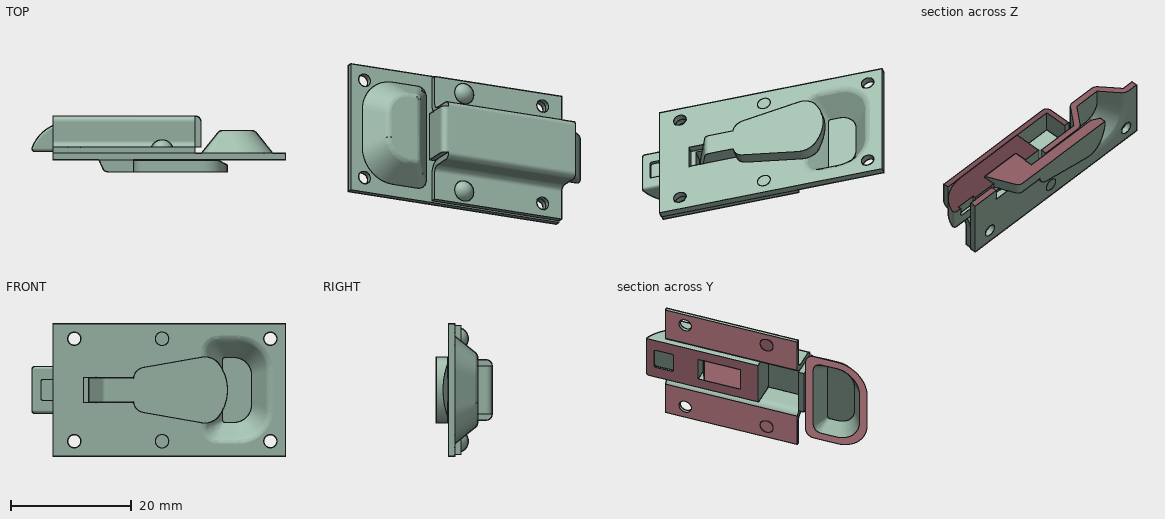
import cadquery as cq
import math


PLATE_LENGTH = 38.5
PLATE_WIDTH = 22.0
PLATE_THICKNESS = 1.1
PLATE_FRONT = -PLATE_THICKNESS

HOLE_DIAMETER = 2.15
HOLE_XS = (3.53, 36.0)
FASTENER_Z = 8.5
RIVET_X = 18.05
RIVET_DIAMETER = 2.23
RIVET_HEAD_DIAMETER = 3.53
RIVET_HEAD_HEIGHT = 1.2
RIVET_POINTS = [(RIVET_X, side * FASTENER_Z) for side in (-1, 1)]

SHEET = 1.0
HOUSING_LENGTH = 23.5
HOUSING_DEPTH = 6.17
HOUSING_WIDTH = 21.4
CHANNEL_WIDTH = 10.05
CHANNEL_HALF_INNER = CHANNEL_WIDTH / 2 - SHEET
WEB_INNER = HOUSING_DEPTH - SHEET

THROW = 3.5
BOLT_WIDTH = 7.8
BOLT_FRONT = 0.25
BOLT_END = HOUSING_LENGTH - 2 * THROW
BOLT_CURVE_RADIUS = 6.5
BOLT_ROUND = 0.5
RECESS_START = -2.0
RECESS_SIZE = 3.45
RECESS_DEPTH = 0.5
RECESS_ROUND = 0.35

HANDLE_PROJECTION = 2.0
HANDLE_FRONT = PLATE_FRONT - HANDLE_PROJECTION
HEAD_GAP = 0.1
HEAD_BACK = PLATE_FRONT - HEAD_GAP
STEM_WIDTH = 3.95
STEM_TOE = 6.0
STEM_TOE_DEPTH = 2.45
STEM_SLOPE = 0.45
STEM_ROUND = 1.0
TIP_X = 28.9
TIP_RADIUS = 7.4
TIP_HALF_ANGLE = math.radians(34.4)
CORNER_RADIUS = 3.0
FLANK_ANGLE = math.radians(10)
SHOULDER_X = 13.3
SHOULDER_RADIUS = 2.0
UNDERCUT_LENGTH = 1.65
UNDERCUT_DEPTH = 0.9
FLANGE_WIDTH = 6.55

SLOT_START = 5.1
SLOT_WIDTH = 4.2
SLOT_END = SHOULDER_X + THROW
POCKET_START = 5.9

DISH_LEFT = 24.55
DISH_RIGHT = 36.4
DISH_HALF_WIDTH = 8.9
DISH_LEFT_RADIUS = 2.65
DISH_RIGHT_RADIUS = 5.55
DISH_HEIGHT = 3.8
CAVITY_DEPTH = 3.7
DISH_ROUND = 1.3
DISH_RIM_INSET = 0.6
CAVITY_FLOOR_INSET = 3.53
CAVITY_FLOOR_RADII = (0.38, 2.95)
SHELL_FLOOR_INSET = 3.02
SHELL_BASE_RADII = (1.65, 5.63)
SHELL_FLOOR_RADII = (0.67, 3.85)
SHELL_FLOOR_ROUND = 1.1

PICK = 0.05


def facing(y):
    """Workplane parallel to the plate at the given Y; negative extrusions go toward +Y."""
    return cq.Workplane("XZ", origin=(0, y, 0))


def slab(x_start, x_end, y_start, y_end, width):
    """Box centred on Z = 0."""
    size = (x_end - x_start, y_end - y_start, width)
    return cq.Workplane("XY").box(*size, centered=(False, False, True)).translate((x_start, y_start, 0))


def pins(points, diameter, y_start, y_end):
    """Round bars along Y at the given X, Z points."""
    return facing(y_start).pushPoints(points).circle(diameter / 2).extrude(y_start - y_end)


def dish_outline(y, inset, left_radius, right_radius):
    """Closed outline of the dish at one depth, inset from its rim, with two sizes of corner."""
    left = DISH_LEFT + inset
    right = DISH_RIGHT - inset
    top = DISH_HALF_WIDTH - inset
    arc_inset = 1 - math.sqrt(0.5)

    def corner(x_side, z_side, radius, x_sign, z_sign):
        """Middle of a corner arc; the signs point into the outline."""
        return (x_side + x_sign * radius * arc_inset, z_side + z_sign * radius * arc_inset)

    return (
        facing(y)
        .moveTo(left + left_radius, top)
        .lineTo(right - right_radius, top)
        .threePointArc(corner(right, top, right_radius, -1, -1), (right, top - right_radius))
        .lineTo(right, right_radius - top)
        .threePointArc(corner(right, -top, right_radius, -1, 1), (right - right_radius, -top))
        .lineTo(left + left_radius, -top)
        .threePointArc(corner(left, -top, left_radius, 1, 1), (left, left_radius - top))
        .lineTo(left, top - left_radius)
        .threePointArc(corner(left, top, left_radius, 1, -1), (left + left_radius, top))
        .close()
        .val()
    )


def dish_loft(start_outline, end_outline):
    return cq.Workplane(cq.Solid.makeLoft([start_outline, end_outline], True))


def make_plate():
    """Face plate with the finger dish, the handle slot and the fastener holes."""
    plate = slab(0, PLATE_LENGTH, PLATE_FRONT, 0, PLATE_WIDTH)

    shell = dish_loft(
        dish_outline(0, 0, *SHELL_BASE_RADII),
        dish_outline(DISH_HEIGHT, SHELL_FLOOR_INSET, *SHELL_FLOOR_RADII),
    )
    shell = shell.faces(">Y").edges().fillet(SHELL_FLOOR_ROUND)

    rim_radii = (DISH_LEFT_RADIUS - DISH_RIM_INSET, DISH_RIGHT_RADIUS - DISH_RIM_INSET)
    cavity = dish_loft(
        dish_outline(PLATE_FRONT, DISH_RIM_INSET, *rim_radii),
        dish_outline(PLATE_FRONT + CAVITY_DEPTH, CAVITY_FLOOR_INSET, *CAVITY_FLOOR_RADII),
    )
    plate = plate.union(shell).cut(cavity)
    rim_box = cq.selectors.BoxSelector(
        (DISH_LEFT, PLATE_FRONT - PICK, -DISH_HALF_WIDTH),
        (DISH_RIGHT, PLATE_FRONT + PICK, DISH_HALF_WIDTH),
    )
    plate = plate.edges(rim_box).fillet(DISH_ROUND)

    plate = plate.cut(slab(SLOT_START, SLOT_END, PLATE_FRONT, 0, SLOT_WIDTH))
    mounting_points = [(x, side * FASTENER_Z) for x in HOLE_XS for side in (-1, 1)]
    plate = plate.cut(pins(mounting_points, HOLE_DIAMETER, PLATE_FRONT, 0))
    return plate.cut(pins(RIVET_POINTS, RIVET_DIAMETER, PLATE_FRONT, 0))


def make_housing():
    """Hat-shaped sheet channel with two flanges and a bent tab at its end."""
    half_outer = CHANNEL_WIDTH / 2
    flanges = slab(0, HOUSING_LENGTH, 0, SHEET, HOUSING_WIDTH)
    channel = slab(0, HOUSING_LENGTH, 0, HOUSING_DEPTH, CHANNEL_WIDTH)
    housing = flanges.union(channel)
    housing = housing.edges("|X and >Y").fillet(SHEET)
    inner_corners = cq.selectors.BoxSelector(
        (0, SHEET - PICK, -half_outer - PICK), (HOUSING_LENGTH, SHEET + PICK, half_outer + PICK)
    )
    housing = housing.edges(inner_corners).edges("|X").fillet(SHEET)
    housing = housing.cut(slab(0, HOUSING_LENGTH, 0, WEB_INNER, 2 * CHANNEL_HALF_INNER))
    mouth_edges = cq.selectors.BoxSelector(
        (0, -PICK, -half_outer), (HOUSING_LENGTH, PICK, half_outer)
    )
    housing = housing.edges(mouth_edges).edges("|X").fillet(2 * SHEET)

    tab_bend = SHEET * 0.999
    tab = slab(
        HOUSING_LENGTH, HOUSING_LENGTH + SHEET, SHEET, HOUSING_DEPTH, 2 * CHANNEL_HALF_INNER
    )
    tab = tab.edges(">X and >Y").fillet(tab_bend)
    housing = housing.union(tab)

    screw_points = [(HOLE_XS[0], side * FASTENER_Z) for side in (-1, 1)]
    housing = housing.cut(pins(screw_points, HOLE_DIAMETER, 0, SHEET))
    return housing.cut(pins(RIVET_POINTS, RIVET_DIAMETER, 0, SHEET))


def make_bolt():
    """Sliding bolt with a curved nose, a shallow front recess and a pocket for the handle."""
    round_x = BOLT_ROUND - THROW
    round_y = BOLT_FRONT + BOLT_ROUND
    curve_y = WEB_INNER - BOLT_CURVE_RADIUS
    center_distance = BOLT_CURVE_RADIUS - BOLT_ROUND
    tip_angle = math.pi - math.asin((round_y - curve_y) / center_distance)
    curve_x = round_x - center_distance * math.cos(tip_angle)

    def on_curve(angle):
        return (
            curve_x + BOLT_CURVE_RADIUS * math.cos(angle),
            curve_y + BOLT_CURVE_RADIUS * math.sin(angle),
        )

    bolt = (
        cq.Workplane("XY", origin=(0, 0, -BOLT_WIDTH / 2))
        .moveTo(BOLT_END, BOLT_FRONT)
        .lineTo(BOLT_END, WEB_INNER)
        .lineTo(curve_x, WEB_INNER)
        .threePointArc(on_curve((math.pi / 2 + tip_angle) / 2), on_curve(tip_angle))
        .threePointArc((-THROW, round_y), (round_x, BOLT_FRONT))
        .close()
        .extrude(BOLT_WIDTH)
    )
    bolt = bolt.faces("<Z or >Z").edges("not >X").fillet(BOLT_ROUND)

    recess = slab(
        RECESS_START, RECESS_START + RECESS_SIZE, BOLT_FRONT, BOLT_FRONT + RECESS_DEPTH, RECESS_SIZE
    )
    bolt = bolt.cut(recess.edges("|Y").fillet(RECESS_ROUND))
    return bolt.cut(slab(POCKET_START, SHOULDER_X, BOLT_FRONT, STEM_TOE_DEPTH, STEM_WIDTH))


def handle_head():
    """Fan-shaped grip with a rounded tip, straight flanks and rounded shoulders."""
    half_stem = STEM_WIDTH / 2
    tip_center_x = TIP_X - TIP_RADIUS
    corner_offset = TIP_RADIUS - CORNER_RADIUS
    corner_x = tip_center_x + corner_offset * math.cos(TIP_HALF_ANGLE)
    corner_z = corner_offset * math.sin(TIP_HALF_ANGLE)
    flank_normal = math.pi / 2 + FLANK_ANGLE

    def on_corner(angle):
        return (
            corner_x + CORNER_RADIUS * math.cos(angle),
            corner_z + CORNER_RADIUS * math.sin(angle),
        )

    flank_end = on_corner(flank_normal)
    shoulder_x = SHOULDER_X + SHOULDER_RADIUS
    run = shoulder_x - flank_end[0]
    shoulder_z = flank_end[1] + (run * math.sin(FLANK_ANGLE) - SHOULDER_RADIUS) / math.cos(FLANK_ANGLE)

    def on_shoulder(angle):
        return (
            shoulder_x + SHOULDER_RADIUS * math.cos(angle),
            shoulder_z + SHOULDER_RADIUS * math.sin(angle),
        )

    shoulder_start = math.pi - math.asin((half_stem - shoulder_z) / SHOULDER_RADIUS)
    half = (
        facing(HEAD_BACK)
        .moveTo(TIP_X, 0)
        .threePointArc(
            (
                tip_center_x + TIP_RADIUS * math.cos(TIP_HALF_ANGLE / 2),
                TIP_RADIUS * math.sin(TIP_HALF_ANGLE / 2),
            ),
            on_corner(TIP_HALF_ANGLE),
        )
        .threePointArc(on_corner((TIP_HALF_ANGLE + flank_normal) / 2), flank_end)
        .lineTo(*on_shoulder(flank_normal))
        .threePointArc(on_shoulder((flank_normal + shoulder_start) / 2), on_shoulder(shoulder_start))
        .lineTo(on_shoulder(shoulder_start)[0], 0)
        .close()
        .extrude(HEAD_BACK - HANDLE_FRONT)
    )
    head = half.union(half.mirror("XY"))
    undercut = (
        cq.Workplane("XY", origin=(0, 0, -DISH_HALF_WIDTH))
        .moveTo(TIP_X - UNDERCUT_LENGTH, PLATE_FRONT)
        .lineTo(TIP_X, PLATE_FRONT)
        .lineTo(TIP_X, PLATE_FRONT - UNDERCUT_DEPTH)
        .close()
        .extrude(2 * DISH_HALF_WIDTH)
    )
    return head.cut(undercut)


def handle_stem():
    """Bar with a sloping end that runs from the grip through the plate into the bolt."""
    front_x = STEM_TOE + STEM_SLOPE * (STEM_TOE_DEPTH - HANDLE_FRONT)
    stem_end = SHOULDER_X + SHOULDER_RADIUS
    stem = (
        cq.Workplane("XY", origin=(0, 0, -STEM_WIDTH / 2))
        .moveTo(front_x, HANDLE_FRONT)
        .lineTo(stem_end, HANDLE_FRONT)
        .lineTo(stem_end, HEAD_BACK)
        .lineTo(SHOULDER_X, HEAD_BACK)
        .lineTo(SHOULDER_X, STEM_TOE_DEPTH)
        .lineTo(STEM_TOE, STEM_TOE_DEPTH)
        .close()
        .extrude(STEM_WIDTH)
    )
    return stem.faces("<Y").edges("<X").fillet(STEM_ROUND)


def make_handle():
    """Grip and stem, with a thin flange that fills the gap between plate and bolt."""
    flange_start = STEM_TOE + STEM_SLOPE * STEM_TOE_DEPTH
    flange = slab(flange_start, SHOULDER_X, 0, BOLT_FRONT, FLANGE_WIDTH)
    return handle_head().union(handle_stem()).union(flange)


def make_rivet(x, z):
    """Rivet with a domed head behind the housing flange, flush with the plate's front."""
    head_radius = RIVET_HEAD_DIAMETER / 2
    sphere_radius = (head_radius**2 + RIVET_HEAD_HEIGHT**2) / (2 * RIVET_HEAD_HEIGHT)
    ball = cq.Workplane("XY").sphere(sphere_radius)
    ball = ball.translate((x, SHEET + RIVET_HEAD_HEIGHT - sphere_radius, z))
    head = ball.intersect(pins([(x, z)], 2 * sphere_radius, SHEET, SHEET + RIVET_HEAD_HEIGHT))
    return head.union(pins([(x, z)], RIVET_DIAMETER, PLATE_FRONT, SHEET))


plate = make_plate()
housing = make_housing()
bolt = make_bolt()
handle = make_handle()
rivets = [make_rivet(x, z) for x, z in RIVET_POINTS]

result = cq.Compound.makeCompound(
    [plate.val(), housing.val(), bolt.val(), handle.val(), *[rivet.val() for rivet in rivets]]
)